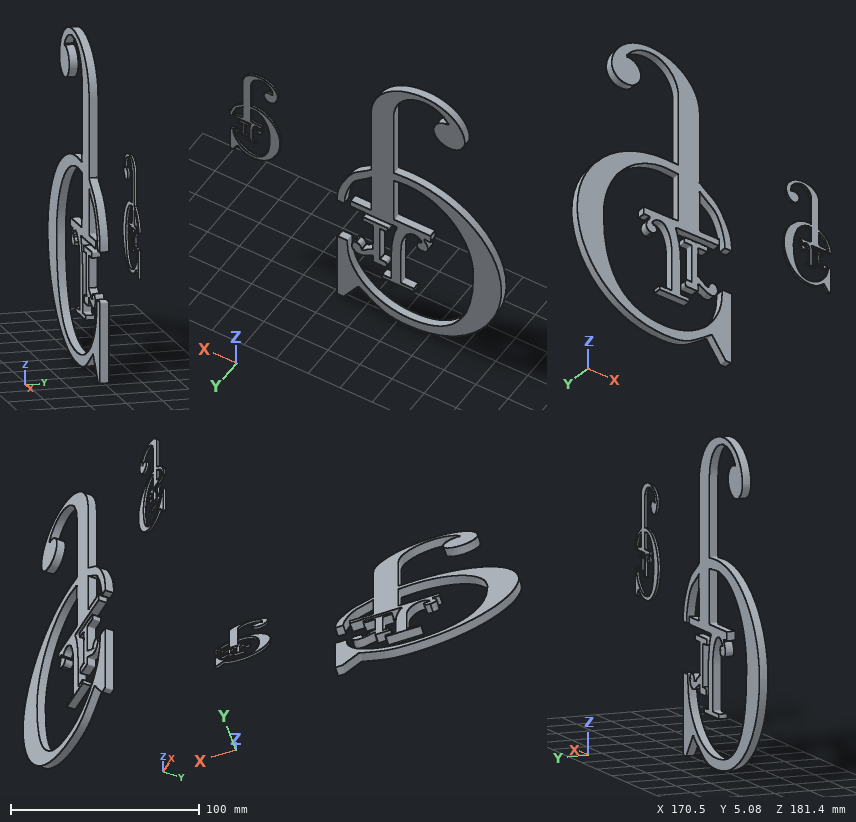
import cadquery as cq


UP = (0, 1)
DOWN = (0, -1)
LEFT = (-1, 0)
RIGHT = (1, 0)
UP_LEFT = (-1, 1)
DOWN_LEFT = (-1, -1)
DOWN_RIGHT = (1, -1)
STEEP_DOWN = (0.5, -1)
ELLIPSE_FULLNESS = 0.5523

TOTAL_LENGTH = 170.48
TOTAL_HEIGHT = 181.37
LARGE_FRONT = 0.0
LARGE_THICKNESS = 5.08
SMALL_FRONT = 2.286
SMALL_THICKNESS = 1.524
SMALL_X = 139.0
SMALL_Z = 74.1


class LargeLetter:
    bowl_bottom_x = 58.3
    bowl_left_z = 59.2
    bowl_crest = (58.0, 113.4)
    bowl_stem_z = 112.9
    inner_bottom = (58.3, 6.2)
    inner_left = (17.6, 61.0)
    inner_crest = (59.0, 107.7)
    inner_stem_z = 107.0
    inner_left_fullness = 0.665
    inner_right_fullness = ELLIPSE_FULLNESS
    stem_left = 67.2
    stem_right = 81.35
    hook_inner_z = 156.5
    hook_inner_crest = (47.8, 177.4)
    hook_notch = (33.0, 169.4)
    ball_top = (33.5, 168.8)
    ball_right = (42.4, 160.1)
    ball_bottom = (32.6, 151.0)
    ball_left = (22.9, 160.5)
    hook_crest = (48.0, TOTAL_HEIGHT)
    hook_outer_z = 152.0
    arm_root_z = 107.7
    arm_outer = [(91.8, 99.5), (98.6, 89.3)]
    arm_right = 102.65
    arm_tangent_z = 73.0
    arm_tip_left = 98.0
    arm_inner = [(96.4, 82.2), (91.2, 93.1)]
    arm_inner_root_z = 101.5
    bar_left = 44.2
    bar_right = 94.4
    bar_bottom = 72.1
    bar_top_left = 77.0
    bar_top_right = 76.4
    leg_root_x = 65.0
    leg_bend = (67.6, 63.6)
    leg_left = 62.7
    leg_right = 68.8
    leg_outer_z = 51.0
    leg_inner_z = 56.0
    foot_left = 54.6
    foot_right = 74.6
    foot_bottom = 27.9
    foot_top = 30.6
    curl_crest_x = 54.6
    curl_notch = (49.9, 68.6)
    curl_ball_top = (51.2, 67.9)
    curl_ball_right = (53.0, 65.4)
    curl_ball_bottom = (49.5, 62.3)
    curl_ball_left = (45.9, 65.6)
    curl_neck = (48.2, 71.0)
    spur_left = 96.1
    spur_tangent_z = 41.5
    spur_top = 44.8
    spur_right = arm_right
    spur_toe_x = 98.5
    spur_notch = (89.2, 13.2)
    spur_bowl = [(85.0, 9.9), (76.0, 3.8)]
    bar_fillet = 1.0
    bowl_fillet = 0.7
    foot_fillet = 0.7
    leg_root_fillet = 0.7
    spur_round = 0.7


class SmallLetter:
    bowl_bottom_x = 16.6
    bowl_left_z = 20.4
    bowl_crest = (16.4, 39.3)
    bowl_stem_z = 39.1
    inner_bottom = (16.6, 2.3)
    inner_left = (6.4, 20.4)
    inner_crest = (16.4, 36.9)
    inner_stem_z = 36.7
    inner_left_fullness = 0.64
    inner_right_fullness = 0.5
    stem_left = 18.2
    stem_right = 23.3
    hook_inner_z = 54.5
    hook_inner_crest = (11.4, 62.1)
    hook_notch = (4.7, 55.1)
    ball_top = (7.0, 55.4)
    ball_right = (10.2, 52.4)
    ball_bottom = (6.4, 48.3)
    ball_left = (1.5, 55.5)
    hook_crest = (12.7, 64.2)
    hook_outer_z = 56.0
    arm_root_z = 38.1
    arm_outer = [(27.5, 34.9), (30.4, 30.6)]
    arm_right = TOTAL_LENGTH - SMALL_X
    arm_tangent_z = 25.6
    arm_tip_left = 29.7
    arm_inner = [(28.6, 29.8), (26.6, 33.2)]
    arm_inner_root_z = 35.7
    bar_left = 11.3
    bar_right = 28.1
    bar_bottom = 25.3
    bar_top_left = 27.4
    bar_top_right = 27.4
    leg_root_x = 18.3
    leg_bend = (18.7, 24.2)
    leg_left = 17.2
    leg_right = 18.9
    leg_outer_z = 22.0
    leg_inner_z = 21.0
    foot_left = 14.5
    foot_right = 21.1
    foot_bottom = 12.2
    foot_top = 12.8
    curl_crest_x = 14.5
    curl_notch = (12.5, 23.2)
    curl_ball_top = (13.4, 23.2)
    curl_ball_right = (14.5, 21.9)
    curl_ball_bottom = (12.9, 20.5)
    curl_ball_left = (11.4, 22.6)
    curl_neck = (12.0, 24.8)
    spur_left = 29.3
    spur_tangent_z = 15.4
    spur_top = 15.7
    spur_right = 31.1
    spur_toe_x = 29.3
    spur_notch = (26.4, 4.1)
    spur_bowl = [(25.0, 2.9), (22.0, 1.0)]
    bar_fillet = 1.4
    bowl_fillet = 0.2
    foot_fillet = 0.4
    leg_root_fillet = 0.2
    spur_round = 0.2


class LargeInitial:
    bar_left = 71.0
    bar_right = 86.8
    bar_top = 68.3
    bar_bottom = 65.0
    stem_left = 75.9
    stem_right = 80.3
    foot_left = 71.6
    foot_top = 41.5
    foot_bottom = 37.1
    tail_upper_z = 47.1
    tail_upper = (83.7, 44.8)
    tail_notch = (87.3, 42.7)
    ball_top = (90.8, 46.5)
    ball_right = (93.4, 42.9)
    tail_bottom = (89.0, 38.1)
    tail_lower = (84.2, 39.9)
    tail_lower_z = 42.4
    bar_fillet = 0.7
    bar_round = 0.4
    foot_round = 1.6
    heel_round = 0.8
    tail_fillet = 0.5


class SmallInitial:
    bar_left = 20.5
    bar_right = 26.1
    bar_top = 23.2
    bar_bottom = 22.1
    stem_left = 22.2
    stem_right = 23.7
    foot_left = 20.5
    foot_top = 15.2
    foot_bottom = 14.4
    tail_upper_z = 17.5
    tail_upper = (24.7, 15.9)
    tail_notch = (26.0, 15.0)
    ball_top = (27.2, 16.7)
    ball_right = (28.2, 15.5)
    tail_bottom = (26.6, 13.9)
    tail_lower = (25.1, 14.6)
    tail_lower_z = 16.1
    bar_fillet = 0.2
    bar_round = 0.1
    foot_round = 0.3
    heel_round = 0.2
    tail_fillet = 0.1


class Outline:
    """A closed outline in the XZ plane, drawn piece by piece from a start point."""

    def __init__(self, start):
        self.start = start
        self.here = start
        self.edges = []

    def add(self, edge, end):
        self.edges.append(edge)
        self.here = end

    def lines(self, *points):
        for point in points:
            self.add(cq.Edge.makeLine(in_space(self.here), in_space(point)), point)

    def tangent_arc(self, direction, end):
        self.add(cq.Edge.makeTangentArc(in_space(self.here), in_space(direction), in_space(end)), end)

    def quarter(self, direction, end, fullness=ELLIPSE_FULLNESS):
        """A quarter turn that leaves along one axis and arrives along the other."""
        (x0, z0), (x1, z1) = self.here, end
        corner = (x1, z0) if direction in (LEFT, RIGHT) else (x0, z1)
        handles = [between(p, corner, fullness) for p in (self.here, end)]
        self.add(cq.Edge.makeBezier([in_space(p) for p in (self.here, *handles, end)]), end)

    def curve(self, leave, middle_points, arrive, end):
        """A smooth curve through the middle points, with given directions at its ends."""
        points = [in_space(p) for p in (self.here, *middle_points, end)]
        self.add(cq.Edge.makeSpline(points, tangents=[in_space(leave), in_space(arrive)]), end)

    def plate(self, front, thickness):
        if self.here != self.start:
            self.lines(self.start)
        face = cq.Face.makeFromWires(cq.Wire.assembleEdges(self.edges))
        solid = cq.Solid.extrudeLinear(face, cq.Vector(0, thickness, 0))
        return cq.Workplane(solid.moved(cq.Location(cq.Vector(0, front, 0))))


def in_space(point):
    return cq.Vector(point[0], 0, point[1])


def between(point, target, share):
    return tuple(p + share * (t - p) for p, t in zip(point, target))


def round_corners(plate, front, thickness, corners, radius):
    middle_y = front + thickness / 2
    for x, z in corners:
        plate = plate.edges(cq.NearestToPointSelector((x, middle_y, z))).fillet(radius)
    return plate


def swash_letter(s, front, thickness):
    path = Outline((s.bowl_bottom_x, 0))

    path.quarter(LEFT, (0, s.bowl_left_z))
    path.quarter(UP, s.bowl_crest)
    path.tangent_arc(RIGHT, (s.stem_left, s.bowl_stem_z))

    path.lines((s.stem_left, s.hook_inner_z))
    path.quarter(UP, s.hook_inner_crest)
    path.tangent_arc(LEFT, s.hook_notch)
    path.lines(s.ball_top)
    path.quarter(RIGHT, s.ball_right)
    path.quarter(DOWN, s.ball_bottom)
    path.quarter(LEFT, s.ball_left)
    path.quarter(UP, s.hook_crest)
    path.quarter(RIGHT, (s.stem_right, s.hook_outer_z))

    path.lines((s.stem_right, s.arm_root_z))
    path.curve(DOWN_RIGHT, s.arm_outer, DOWN, (s.arm_right, s.arm_tangent_z))
    path.lines((s.arm_right, s.bar_bottom), (s.arm_tip_left, s.bar_bottom))
    path.curve(UP, s.arm_inner, UP_LEFT, (s.stem_right, s.arm_inner_root_z))

    path.lines((s.stem_right, s.bar_top_right), (s.bar_right, s.bar_top_right))
    path.lines((s.bar_right, s.bar_bottom), (s.leg_root_x, s.bar_bottom))
    path.curve(STEEP_DOWN, [s.leg_bend], DOWN, (s.leg_right, s.leg_outer_z))
    path.lines((s.leg_right, s.foot_top), (s.foot_right, s.foot_top))
    path.lines((s.foot_right, s.foot_bottom), (s.foot_left, s.foot_bottom))
    path.lines((s.foot_left, s.foot_top), (s.leg_left, s.foot_top), (s.leg_left, s.leg_inner_z))

    path.quarter(UP, (s.curl_crest_x, s.bar_bottom))
    path.tangent_arc(LEFT, s.curl_notch)
    path.lines(s.curl_ball_top)
    path.quarter(RIGHT, s.curl_ball_right)
    path.quarter(DOWN, s.curl_ball_bottom)
    path.quarter(LEFT, s.curl_ball_left)
    path.tangent_arc(UP, s.curl_neck)
    path.lines((s.curl_neck[0], s.bar_bottom), (s.bar_left, s.bar_bottom))
    path.lines((s.bar_left, s.bar_top_left), (s.stem_left, s.bar_top_left))

    path.lines((s.stem_left, s.inner_stem_z), s.inner_crest)
    path.quarter(LEFT, s.inner_left)
    path.quarter(DOWN, s.inner_bottom, s.inner_left_fullness)
    path.quarter(RIGHT, (s.spur_left, s.spur_tangent_z), s.inner_right_fullness)

    path.lines((s.spur_left, s.spur_top), (s.spur_right, s.spur_top), (s.spur_right, 0))
    path.lines((s.spur_toe_x, 0), s.spur_notch)
    path.curve(DOWN_LEFT, s.spur_bowl, LEFT, path.start)

    plate = path.plate(front, thickness)
    bar_corners = [(s.stem_left, s.bar_top_left), (s.stem_right, s.bar_top_right)]
    bowl_corners = [(s.stem_left, s.bowl_stem_z), (s.stem_left, s.inner_stem_z)]
    foot_corners = [(s.leg_left, s.foot_top), (s.leg_right, s.foot_top)]
    spur_top_corners = [(x, s.spur_top) for x in (s.spur_left, s.spur_right)]
    spur_corners = [*spur_top_corners, (s.spur_right, 0), (s.spur_toe_x, 0), s.spur_notch]
    for corners, radius in (
        (bar_corners, s.bar_fillet),
        (bowl_corners, s.bowl_fillet),
        (foot_corners, s.foot_fillet),
        ([(s.leg_root_x, s.bar_bottom)], s.leg_root_fillet),
        (spur_corners, s.spur_round),
    ):
        plate = round_corners(plate, front, thickness, corners, radius)
    return plate


def initial(s, front, thickness):
    path = Outline((s.bar_right, s.bar_top))
    path.lines((s.bar_left, s.bar_top), (s.bar_left, s.bar_bottom), (s.stem_left, s.bar_bottom))
    path.lines((s.stem_left, s.foot_top), (s.foot_left, s.foot_top))
    path.lines((s.foot_left, s.foot_bottom), (s.stem_right, s.foot_bottom))

    path.lines((s.stem_right, s.tail_lower_z))
    path.curve(DOWN_RIGHT, [s.tail_lower], RIGHT, s.tail_bottom)
    path.quarter(RIGHT, s.ball_right)
    path.quarter(UP, s.ball_top)
    path.quarter(LEFT, s.tail_notch)
    path.curve(LEFT, [s.tail_upper], UP_LEFT, (s.stem_right, s.tail_upper_z))
    path.lines((s.stem_right, s.bar_bottom), (s.bar_right, s.bar_bottom))

    plate = path.plate(front, thickness)
    bar_corners = [(x, z) for x in (s.bar_left, s.bar_right) for z in (s.bar_bottom, s.bar_top)]
    stem_corners = [(x, s.bar_bottom) for x in (s.stem_left, s.stem_right)]
    foot_corners = [(s.foot_left, s.foot_bottom), (s.foot_left, s.foot_top)]
    for corners, radius in (
        (bar_corners, s.bar_round),
        (stem_corners, s.bar_fillet),
        (foot_corners, s.foot_round),
        ([(s.stem_right, s.foot_bottom)], s.heel_round),
        ([(s.stem_right, s.tail_lower_z)], s.tail_fillet),
    ):
        plate = round_corners(plate, front, thickness, corners, radius)
    return plate


large_letter = swash_letter(LargeLetter, LARGE_FRONT, LARGE_THICKNESS)
large_initial = initial(LargeInitial, LARGE_FRONT, LARGE_THICKNESS)
small_place = (SMALL_X, 0, SMALL_Z)
small_letter = swash_letter(SmallLetter, SMALL_FRONT, SMALL_THICKNESS).translate(small_place)
small_initial = initial(SmallInitial, SMALL_FRONT, SMALL_THICKNESS).translate(small_place)

result = cq.Compound.makeCompound(
    [large_letter.val(), large_initial.val(), small_letter.val(), small_initial.val()]
)